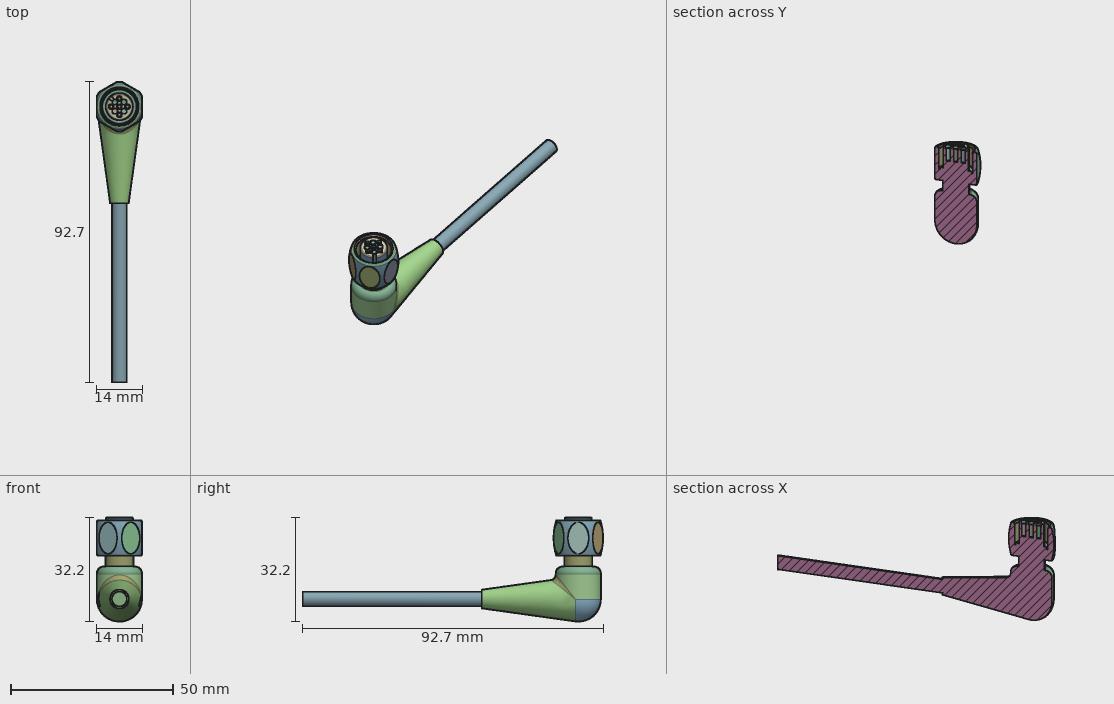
import cadquery as cq
import math

BODY_RADIUS = 7.0
BODY_TOP = 10.05
BODY_ROUND = 2.2

SLEEVE_END_Y = -29.8
SLEEVE_END_RADIUS = 2.9
CABLE_END_Y = -84.98
CABLE_RADIUS = 4.6 / 2
CROTCH_RADIUS = 1.6

NECK_RADIUS = 8.7 / 2

NUT_BOTTOM = 13.3
NUT_TOP = 24.3
NUT_FLATS = 6
NUT_ACROSS_FLATS = 14.0
NUT_BELLY_RADIUS = 7.7
NUT_END_RADIUS = 6.8
NUT_RIM_ROUND = 0.5
NUT_BORE_RADIUS = 10.95 / 2
NUT_BORE_FLOOR = 17.0
NUT_BORE_CHAMFER = 0.5

INSERT_TOP = 25.15
INSERT_RADIUS = 4.2
INSERT_ROUND = 0.4
SEAL_CENTRE_RADIUS = 4.75
SEAL_SECTION_RADIUS = 0.6
SEAL_LIFT = SEAL_SECTION_RADIUS / 2

CONTACT_RADIUS = 1.15 / 2
CONTACT_CIRCLE_RADIUS = 2.5
CONTACT_COUNT = 4
CONTACT_DEPTH = 5.0
CONTACT_MOUTH_RADIUS = 0.8
CONTACT_MOUTH_DEPTH = 1.0
RECESS_RADIUS = 0.85
RECESS_CIRCLE_RADIUS = 2.0
RECESS_DEPTH = 0.3
KEY_WIDTH = 1.0
KEY_INNER_RADIUS = 2.7
KEY_ANGLE = 135
KEY_DEPTH = CONTACT_DEPTH


def cylinder(radius, bottom, top):
    return cq.Workplane("XY").workplane(offset=bottom).circle(radius).extrude(top - bottom)


def make_elbow():
    """Upright barrel with a spherical heel and a cone tangent to that heel."""
    upright = cylinder(BODY_RADIUS, 0, BODY_TOP).faces(">Z").edges().fillet(BODY_ROUND)
    heel = cq.Workplane("XY").sphere(BODY_RADIUS, angle2=0)
    end_distance = math.hypot(SLEEVE_END_Y, SLEEVE_END_RADIUS)
    touch_angle = math.atan2(SLEEVE_END_RADIUS, -SLEEVE_END_Y) + math.acos(BODY_RADIUS / end_distance)
    touch_y = -BODY_RADIUS * math.cos(touch_angle)
    touch_radius = BODY_RADIUS * math.sin(touch_angle)
    sleeve = (
        cq.Workplane("YZ")
        .moveTo(touch_y, 0)
        .lineTo(touch_y, -touch_radius)
        .lineTo(SLEEVE_END_Y, -SLEEVE_END_RADIUS)
        .lineTo(SLEEVE_END_Y, 0)
        .close()
        .revolve(360, (0, 0, 0), (1, 0, 0))
    )
    elbow = upright.union(heel).union(sleeve)
    return elbow.edges("%BSPLINE").fillet(CROTCH_RADIUS)


def make_cable():
    """Round cable leaving the end of the sleeve."""
    length = SLEEVE_END_Y - CABLE_END_Y
    return cq.Workplane("XZ", origin=(0, SLEEVE_END_Y, 0)).circle(CABLE_RADIUS).extrude(length)


def make_nut():
    """Barrel-shaped nut with six flats, open at the top."""
    middle = (NUT_BOTTOM + NUT_TOP) / 2
    barrel = (
        cq.Workplane("XZ")
        .moveTo(0, NUT_BOTTOM)
        .lineTo(NUT_END_RADIUS, NUT_BOTTOM)
        .threePointArc((NUT_BELLY_RADIUS, middle), (NUT_END_RADIUS, NUT_TOP))
        .lineTo(0, NUT_TOP)
        .close()
        .revolve(360, (0, 0, 0), (0, 1, 0))
        .faces("<Z or >Z")
        .edges()
        .fillet(NUT_RIM_ROUND)
    )
    across_corners = NUT_ACROSS_FLATS / math.cos(math.pi / NUT_FLATS)
    hexagon = (
        cq.Workplane("XY")
        .workplane(offset=NUT_BOTTOM)
        .transformed(rotate=(0, 0, 180 / NUT_FLATS))
        .polygon(NUT_FLATS, across_corners)
        .extrude(NUT_TOP - NUT_BOTTOM)
    )
    bore = cylinder(NUT_BORE_RADIUS, NUT_BORE_FLOOR, NUT_TOP)
    nut = barrel.intersect(hexagon).cut(bore)
    bore_rim = cq.selectors.RadiusNthSelector(0)
    return nut.faces(">Z").edges(bore_rim).chamfer(NUT_BORE_CHAMFER)


def make_insert():
    """Contact insert with its rounded rim, plus the sealing ring around its foot."""
    insert = cylinder(INSERT_RADIUS, NUT_BORE_FLOOR, INSERT_TOP).faces(">Z").edges().fillet(INSERT_ROUND)
    seal = (
        cq.Workplane("XZ")
        .moveTo(SEAL_CENTRE_RADIUS, NUT_BORE_FLOOR + SEAL_LIFT)
        .circle(SEAL_SECTION_RADIUS)
        .revolve(360, (0, 0, 0), (0, 1, 0))
    )
    return insert.union(seal)


def face_cylinders(radius, depth, circle_radius, start_angle):
    """Equally spaced cylinders reaching down from the insert face, one per contact of the ring."""
    return (
        cq.Workplane("XY")
        .workplane(offset=INSERT_TOP - depth)
        .polarArray(circle_radius, start_angle, 360, CONTACT_COUNT)
        .circle(radius)
        .extrude(depth)
    )


def make_contact_holes():
    """Stepped holes: a ring of contacts plus one in the centre."""
    holes = cq.Workplane("XY")
    steps = ((CONTACT_RADIUS, CONTACT_DEPTH), (CONTACT_MOUTH_RADIUS, CONTACT_MOUTH_DEPTH))
    for radius, depth in steps:
        holes = holes.add(face_cylinders(radius, depth, CONTACT_CIRCLE_RADIUS, 0))
        holes = holes.add(cylinder(radius, INSERT_TOP - depth, INSERT_TOP))
    return holes.combine()


def make_face_recesses():
    """Shallow round recesses midway between neighbouring ring contacts."""
    half_pitch = 180 / CONTACT_COUNT
    return face_cylinders(RECESS_RADIUS, RECESS_DEPTH, RECESS_CIRCLE_RADIUS, half_pitch)


def make_keyway():
    """Round-bottomed slot in the side of the insert, between two contacts."""
    length = INSERT_RADIUS - KEY_INNER_RADIUS + KEY_WIDTH
    slot = (
        cq.Workplane("XY")
        .workplane(offset=INSERT_TOP - KEY_DEPTH)
        .center(KEY_INNER_RADIUS + length / 2, 0)
        .slot2D(length, KEY_WIDTH)
        .extrude(KEY_DEPTH)
    )
    return slot.rotate((0, 0, 0), (0, 0, 1), KEY_ANGLE)


neck = cylinder(NECK_RADIUS, BODY_TOP, NUT_BOTTOM)
result = make_elbow().union(make_cable()).union(neck).union(make_nut()).union(make_insert())
result = result.cut(make_contact_holes()).cut(make_face_recesses()).cut(make_keyway())